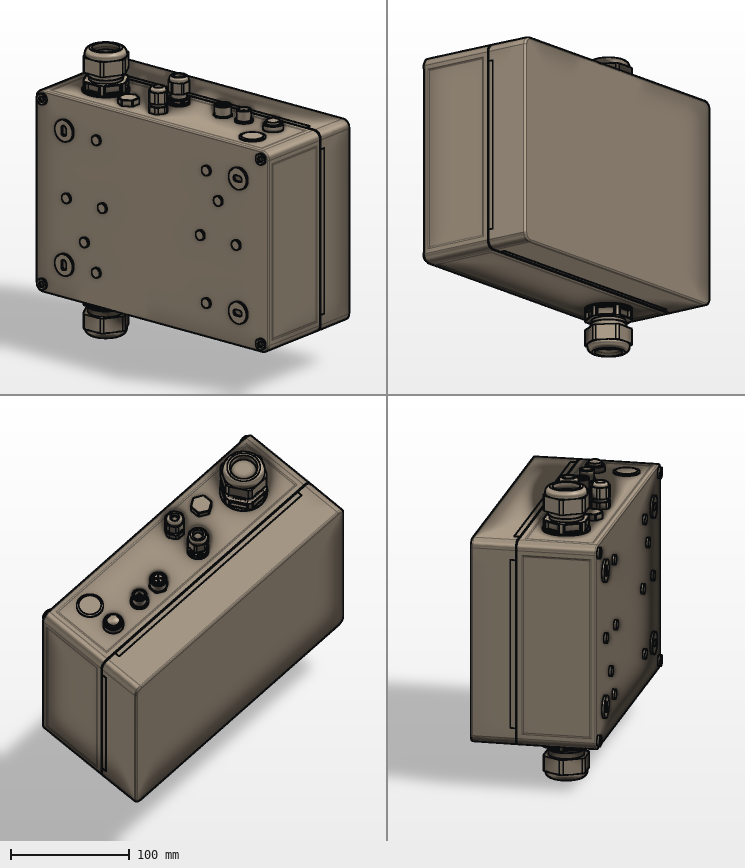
import cadquery as cq
import math

WIDTH = 254.0
HEIGHT = 180.0
DEPTH = 108.5
CORNER_RADIUS = 7.5
FRONT_RIM_RADIUS = 1.3
BACK_RIM_RADIUS = 1.8
LID_DRAFT = 0.3
WALL_X = WIDTH / 2
WALL_Z = HEIGHT / 2

SEAM_Y = 69.0
SEAM_WIDTH = 0.8
SEAM_DEPTH = 0.38

STRIP_WIDTH = 5
STRIP_DEPTH = 0.3
STRIP_MARGIN = 16.0

PANEL_MARGIN = 11.2
PANEL_FRONT = 4.8
PANEL_BACK = 64.0
PANEL_DEPTH = 0.3
PANEL_SLOPE = 1.3

PAD_HEIGHT = 2.0
SCREW_RADIUS = 4.8
SCREW_SOCKET = 5.5
MOUNT_X = 95.0
MOUNT_Z = 60.0
MOUNT_RADIUS = 9.7
SLOT_LENGTH = 9.2
SLOT_WIDTH = 5.5
STUD_RADIUS = 4.3
STUDS = [
    (-60.1, 59.0), (60.1, 59.0), (-60.1, -59.0), (60.1, -59.0),
    (73.0, 35.0), (-73.0, -35.0),
    (-92.7, 0), (92.7, 0), (-53.5, 0), (53.5, 0),
]

EMBED = 2.5
FLANGE_HEIGHT = 0.8
CONTACT_RADIUS = 0.5
CONTACT_RING_RADIUS = 2.3
ROW_BACK = 49.0
ROW_FRONT = 21.7

BIG_GLAND_X = -80.3
BIG_GLAND_Y = 36.0
GLAND_X = -11.2
BLANKING_PLUG_X = -43.5
SOCKET_X = 37.0
PLUG_CONNECTOR_X = 60.0
BUTTON_X = 91.7


def cylinder(radius, bottom, top):
    return cq.Workplane("XY").workplane(offset=bottom).circle(radius).extrude(top - bottom)


def revolve_profile(profile):
    """Turn a closed half profile, drawn as (radius, height), about the Z axis."""
    return profile.close().revolve(360, (0, 0, 0), (0, 1, 0))


def hexagon(across_flats, corner_diameter, bottom, top):
    """Hexagonal prism, flats facing Y, with its corners turned down to a diameter."""
    prism = (
        cq.Workplane("XY").workplane(offset=bottom)
        .polygon(6, across_flats / math.cos(math.pi / 6)).extrude(top - bottom)
    )
    return prism.intersect(cylinder(corner_diameter / 2, bottom, top))


def turn_flats_to_x(body):
    return body.rotate((0, 0, 0), (0, 0, 1), 30)


def cut_flat_pockets(body, across_flats, width, bottom, top, depth):
    """Sink a rectangular pocket into each flat of a hexagon."""
    pocket = cq.Workplane("XY").box(width, 2 * depth, top - bottom).translate(
        (0, -across_flats / 2, (bottom + top) / 2)
    )
    for index in range(6):
        body = body.cut(pocket.rotate((0, 0, 0), (0, 0, 1), 60 * index))
    return body


def gland_cap(shoulder_radius, rim_radius, lip_radius, bore_radius, bottom, top, bore_depth):
    """Domed end of a cable gland with a funnel-shaped blind bore."""
    rise = top - bottom
    run = shoulder_radius - rim_radius
    arc_middle = (
        rim_radius + run * math.cos(math.pi / 4),
        bottom + rise * math.sin(math.pi / 4),
    )
    profile = (
        cq.Workplane("XZ").moveTo(0, bottom).lineTo(shoulder_radius, bottom)
        .threePointArc(arc_middle, (rim_radius, top))
        .lineTo(lip_radius, top)
        .lineTo(bore_radius, top - bore_depth / 2)
        .lineTo(bore_radius, top - bore_depth)
        .lineTo(0, top - bore_depth)
    )
    return revolve_profile(profile)


def big_gland():
    flats, corners = 36.0, 39.7
    base_top, collar_bottom, nut_bottom, nut_top, cap_top = 10.0, 13.0, 17.8, 31.0, 37.5
    flange_radius, neck_radius, collar_radius = 20.1, 14.5, 15.3
    base = hexagon(flats, corners, -EMBED, base_top)
    base = cut_flat_pockets(base, flats, width=14.3, bottom=2.0, top=9.0, depth=3.0)
    cap = gland_cap(
        shoulder_radius=flats / 2, rim_radius=14.0, lip_radius=11.7, bore_radius=11.0,
        bottom=nut_top, top=cap_top, bore_depth=5.5,
    )
    return (
        base.union(cylinder(flange_radius, -EMBED, FLANGE_HEIGHT))
        .union(cylinder(neck_radius, base_top, collar_bottom))
        .union(cylinder(collar_radius, collar_bottom, nut_bottom))
        .union(hexagon(flats, corners, nut_bottom, nut_top))
        .union(cap)
    )


def back_gland():
    flats, corners = 16.5, 18.0
    base_top, nut_bottom, nut_top, cap_top = 5.4, 10.2, 20.1, 24.5
    flange_radius, neck_radius = 9.2, 7.0
    base = hexagon(flats, corners, -EMBED, base_top)
    base = cut_flat_pockets(base, flats, width=6.0, bottom=1.5, top=4.3, depth=0.8)
    cap = gland_cap(
        shoulder_radius=flats / 2, rim_radius=6.4, lip_radius=4.5, bore_radius=4.0,
        bottom=nut_top, top=cap_top, bore_depth=3.8,
    )
    gland = (
        base.union(cylinder(flange_radius, -EMBED, FLANGE_HEIGHT))
        .union(cylinder(neck_radius, base_top, nut_bottom))
        .union(hexagon(flats, corners, nut_bottom, nut_top))
        .union(cap)
    )
    return turn_flats_to_x(gland)


def front_gland():
    flats, corners = 15.5, 16.5
    base_top, nut_bottom, nut_top, cap_top = 5.5, 8.5, 18.5, 22.2
    neck_radius = 6.4
    cap = gland_cap(
        shoulder_radius=7.1, rim_radius=4.5, lip_radius=3.8, bore_radius=2.8,
        bottom=nut_top, top=cap_top, bore_depth=3.8,
    )
    return (
        hexagon(flats, corners, -EMBED, base_top)
        .union(cylinder(neck_radius, base_top, nut_bottom))
        .union(hexagon(flats, corners, nut_bottom, nut_top))
        .union(cap)
    )


def blanking_plug():
    flats, corners, top, edge_chamfer = 16.3, 18.0, 5.4, 0.5
    plug = hexagon(flats, corners, -EMBED, top).faces(">Z").chamfer(edge_chamfer)
    return turn_flats_to_x(plug)


def contacts(bottom, top):
    """One central contact with four around it."""
    ring = (
        cq.Workplane("XY").workplane(offset=bottom)
        .polarArray(CONTACT_RING_RADIUS, 45, 360, 4).circle(CONTACT_RADIUS).extrude(top - bottom)
    )
    return ring.union(cylinder(CONTACT_RADIUS, bottom, top))


def socket_connector():
    """Round female connector: sleeve around a raised insert with contact holes."""
    flats, corners = 14.8, 16.0
    sleeve_radius, gap_radius, insert_radius = 7.1, 5.5, 4.3
    sleeve_top, insert_top = 9.7, 10.5
    edge_chamfer = 0.8
    hole_depth = 2.5
    gap_bottom = sleeve_top - hole_depth
    hex_base = turn_flats_to_x(hexagon(flats, corners, -EMBED, FLANGE_HEIGHT))
    sleeve = cylinder(sleeve_radius, FLANGE_HEIGHT, sleeve_top).faces(">Z").chamfer(edge_chamfer)
    gap = cylinder(gap_radius, gap_bottom, sleeve_top)
    insert = cylinder(insert_radius, gap_bottom, insert_top)
    holes = contacts(insert_top - hole_depth, insert_top)
    return hex_base.union(sleeve).cut(gap).union(insert).cut(holes)


def plug_connector():
    """Round male connector: open cup on a flange, with five pins inside."""
    flange_radius, shell_radius, cup_radius = 7.6, 6.0, 4.5
    flange_top, cup_floor, pin_top, shell_top = 1.3, 4.0, 8.7, 10.5
    edge_chamfer = 0.5
    shell = cylinder(shell_radius, 0, shell_top).faces(">Z").chamfer(edge_chamfer)
    cup = cylinder(cup_radius, cup_floor, shell_top)
    pins = contacts(cup_floor, pin_top)
    return cylinder(flange_radius, -EMBED, flange_top).union(shell).cut(cup).union(pins)


def domed_button():
    foot_radius, skirt_radius, ring_radius, collar_radius, dome_radius = 8.7, 8.2, 7.5, 6.0, 5.5
    foot_top, skirt_top, ring_top, dome_bottom, dome_top = 1.3, 4.3, 5, 7.5, 9.5
    rise = dome_top - dome_bottom
    sphere_radius = (dome_radius ** 2 + rise ** 2) / (2 * rise)
    half_angle = math.asin(dome_radius / sphere_radius) / 2
    arc_middle = (
        sphere_radius * math.sin(half_angle),
        dome_top - sphere_radius * (1 - math.cos(half_angle)),
    )
    profile = (
        cq.Workplane("XZ").moveTo(0, -EMBED).lineTo(foot_radius, -EMBED)
        .lineTo(foot_radius, foot_top)
        .lineTo(skirt_radius, skirt_top).lineTo(ring_radius, skirt_top)
        .lineTo(ring_radius, ring_top).lineTo(collar_radius, ring_top)
        .lineTo(dome_radius, dome_bottom)
        .threePointArc(arc_middle, (0, dome_top))
    )
    return revolve_profile(profile)


def low_cap():
    rim_radius, top_radius = 11.2, 9.5
    rim_top, top = 0.5, 1.3
    profile = (
        cq.Workplane("XZ").moveTo(0, -EMBED).lineTo(rim_radius, -EMBED).lineTo(rim_radius, rim_top)
        .lineTo(top_radius, top).lineTo(0, top)
    )
    return revolve_profile(profile)


def rounded_block(inset, front, back, draft=0):
    """Block with the enclosure's outline, moved inwards by an inset and narrowing towards the back."""
    outline = (
        cq.Sketch().rect(WIDTH - 2 * inset, HEIGHT - 2 * inset)
        .vertices().fillet(CORNER_RADIUS - inset)
    )
    plane = cq.Plane(origin=(0, front, 0), xDir=(1, 0, 0), normal=(0, 1, 0))
    return cq.Workplane(plane).placeSketch(outline).extrude(back - front, taper=draft)


def wall_panel(length):
    """Frustum that sinks a panel into a wall at Z = 0, pointing down."""
    height = PANEL_BACK - PANEL_FRONT
    return (
        cq.Workplane("XY", origin=(0, (PANEL_FRONT + PANEL_BACK) / 2, 0)).rect(length, height)
        .workplane(offset=-PANEL_DEPTH).rect(length - 2 * PANEL_SLOPE, height - 2 * PANEL_SLOPE)
        .loft(ruled=True)
    )


def wall_cutters(length, wall_distance):
    """Panel and lid strip for one wall, placed on the upper side."""
    strip = (
        cq.Workplane("XY").box(length - 2 * STRIP_MARGIN, STRIP_WIDTH, 2 * STRIP_DEPTH)
        .translate((0, SEAM_Y + STRIP_WIDTH / 2, 0))
    )
    return wall_panel(length - 2 * PANEL_MARGIN).union(strip).translate((0, 0, wall_distance))


def enclosure():
    base = rounded_block(0, 0, SEAM_Y).faces("<Y").edges().fillet(FRONT_RIM_RADIUS)
    lid = rounded_block(0, SEAM_Y, DEPTH, LID_DRAFT).faces(">Y").edges().fillet(BACK_RIM_RADIUS)
    body = base.union(lid)
    seam_front = SEAM_Y - SEAM_WIDTH / 2
    seam_back = SEAM_Y + SEAM_WIDTH / 2
    groove = rounded_block(-SEAM_DEPTH, seam_front, seam_back).cut(
        rounded_block(SEAM_DEPTH, seam_front, seam_back)
    )
    body = body.cut(groove)
    for angle in (0, 90, 180, 270):
        if angle in (0, 180):
            cutters = wall_cutters(WIDTH, WALL_Z)
        else:
            cutters = wall_cutters(HEIGHT, WALL_X)
        body = body.cut(cutters.rotate((0, 0, 0), (0, 1, 0), angle))
    return body


def front_plane():
    return cq.Workplane("XZ")


def corner_screws():
    places = [
        (side * (WALL_X - CORNER_RADIUS), level * (WALL_Z - CORNER_RADIUS))
        for side in (-1, 1) for level in (-1, 1)
    ]
    heads = front_plane().pushPoints(places).circle(SCREW_RADIUS).extrude(PAD_HEIGHT)
    sockets = front_plane().pushPoints(places).polygon(6, SCREW_SOCKET).extrude(PAD_HEIGHT)
    return heads.cut(sockets)


def mounting_pads():
    pads = front_plane().rect(2 * MOUNT_X, 2 * MOUNT_Z, forConstruction=True).vertices()
    pads = pads.circle(MOUNT_RADIUS).extrude(PAD_HEIGHT)
    for side, angle in ((-1, 90), (1, 0)):
        places = [(side * MOUNT_X, MOUNT_Z), (side * MOUNT_X, -MOUNT_Z)]
        slots = front_plane().pushPoints(places).slot2D(SLOT_LENGTH, SLOT_WIDTH, angle)
        pads = pads.cut(slots.extrude(PAD_HEIGHT))
    return pads


def studs():
    return front_plane().pushPoints(STUDS).circle(STUD_RADIUS).extrude(PAD_HEIGHT)


result = enclosure().union(corner_screws()).union(mounting_pads()).union(studs())

upper_fittings = [
    (big_gland(), BIG_GLAND_X, BIG_GLAND_Y),
    (back_gland(), GLAND_X, ROW_BACK),
    (front_gland(), GLAND_X, ROW_FRONT),
    (blanking_plug(), BLANKING_PLUG_X, ROW_FRONT),
    (socket_connector(), SOCKET_X, ROW_BACK),
    (plug_connector(), PLUG_CONNECTOR_X, ROW_BACK),
    (domed_button(), BUTTON_X, ROW_BACK),
    (low_cap(), BUTTON_X, ROW_FRONT),
]
for fitting, x, y in upper_fittings:
    result = result.union(fitting.translate((x, y, WALL_Z)))

lower_gland = big_gland().translate((BIG_GLAND_X, BIG_GLAND_Y, WALL_Z)).mirror("XY")
result = result.union(lower_gland)